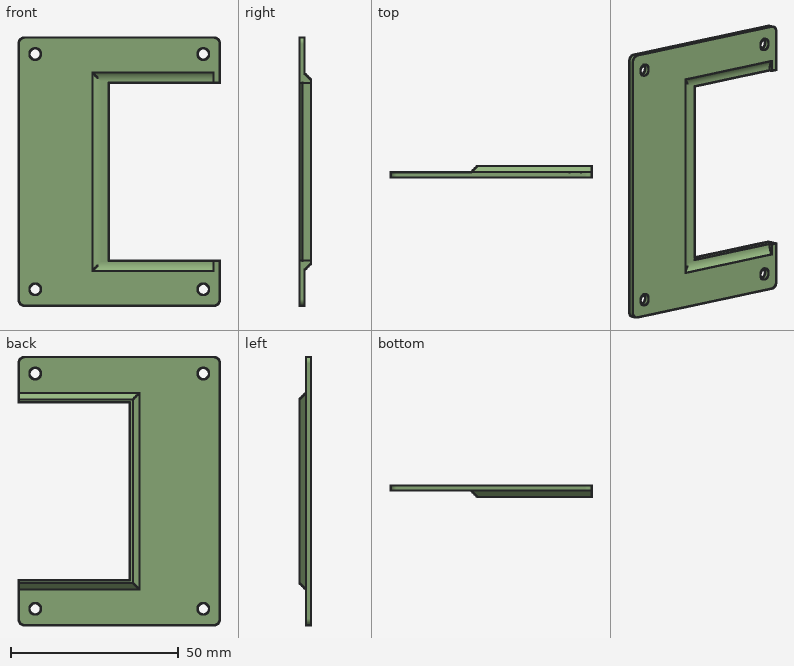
import cadquery as cq
import math

width = 60.0
height = 80.0
plate_thickness = 1.6
total_depth = 3.5
corner_radius = 1.9

hole_diameter = 3.4
hole_inset = 5.0

opening_left = 26.9
opening_margin = 13.5

rim_left = 24.0
rim_margin = 10.7
rim_height = total_depth - plate_thickness
bevel_angle = 45.0

recess_left = 22.0
recess_margin = 10.5
recess_end_wall = 1.9
recess_depth = 1.0
cove_width = 2.5
cove_radius = (cove_width**2 + recess_depth**2) / (2 * recess_depth)


def block(left, right, margin, front, back):
    """Box spanning left to right, kept 'margin' away from the top and bottom edges."""
    return cq.Workplane("XY").box(
        right - left, back - front, height - 2 * margin, centered=False
    ).translate((left, front, margin))


def make_plate():
    plate = block(0, width, 0, 0, plate_thickness).edges("|Y").fillet(corner_radius)
    holes = (
        cq.Workplane("XZ")
        .center(width / 2, height / 2)
        .rect(width - 2 * hole_inset, height - 2 * hole_inset, forConstruction=True)
        .vertices()
        .circle(hole_diameter / 2)
        .extrude(-plate_thickness)
    )
    return plate.cut(holes)


def make_rim():
    envelope = block(rim_left, width, rim_margin, plate_thickness, total_depth)
    base_length = width + rim_height - rim_left
    base_height = height - 2 * rim_margin
    tapered = (
        cq.Workplane("XZ", origin=(rim_left + base_length / 2, plate_thickness, height / 2))
        .rect(base_length, base_height)
        .extrude(-rim_height, taper=bevel_angle)
    )
    return envelope.intersect(tapered)


def cove_profile(plane, reach):
    """Recess section: a concave arc from the front face to the floor, then flat to 'reach'."""
    arc_angle = math.asin(cove_width / cove_radius) / 2
    arc_middle = (
        cove_width - cove_radius * math.sin(arc_angle),
        recess_depth - cove_radius * (1 - math.cos(arc_angle)),
    )
    return (
        cq.Workplane(plane)
        .moveTo(0, 0)
        .threePointArc(arc_middle, (cove_width, recess_depth))
        .lineTo(reach, recess_depth)
        .lineTo(reach, 0)
        .close()
    )


def make_recess():
    """Overlap of an upright and a lengthwise trough, so their coves meet in mitres."""
    length = width - recess_end_wall - recess_left
    span = height - 2 * recess_margin
    left_side = cove_profile("XY", length).extrude(span).translate((recess_left, 0, recess_margin))

    lower_plane = cq.Plane(origin=(recess_left, 0, recess_margin), xDir=(0, 0, 1), normal=(1, 0, 0))
    lower_half = cove_profile(lower_plane, span / 2).extrude(length).mirror("XZ")
    upper_half = lower_half.mirror("XY", (0, 0, height / 2))
    return left_side.intersect(lower_half.union(upper_half))


opening = block(opening_left, width, opening_margin, 0, total_depth)
result = make_plate().union(make_rim()).cut(make_recess()).cut(opening)